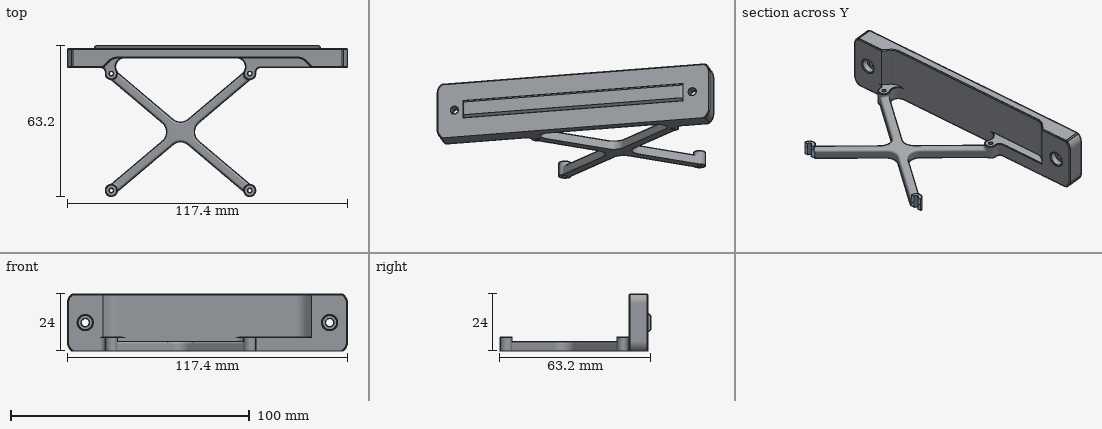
import cadquery as cq
import math

plate_length = 117.4
plate_depth = 8.0
plate_height = 24.0
corner_radius = 5.0
corner_trim = 1.0
edge_chamfer = 0.4

rail_length = 94.6
rail_height = 7.6
rail_depth = 1.2
rail_edge = 1.0

screw_spacing = 102.3
screw_diameter = 3.4
head_diameter = 6.0
head_depth = 3.0

pocket_length = 87.3
pocket_depth = 4.0
pocket_bend_radius = 5.0
pocket_slope_angle = math.radians(45)

boss_diameter = 5.0
boss_hole_diameter = 1.8
boss_height = 6.0
boss_edge_chamfer = 0.2
boss_spacing_x = 58.0
boss_spacing_y = 49.0
boss_centre_x = -11.3

inner_blend_radius = 3.6
outer_blend_radius = 2.0
pad_embed = 0.6

arm_width = 4.0
arm_height = 4.0
arm_fillet = 1.0
root_fillet = 0.9
crossing_radius = 5.0

boss_radius = boss_diameter / 2
near_row_y = -boss_radius
far_row_y = near_row_y - boss_spacing_y
crossing_y = (near_row_y + far_row_y) / 2
boss_xs = [boss_centre_x - boss_spacing_x / 2, boss_centre_x + boss_spacing_x / 2]
boss_points = [(x, y) for x in boss_xs for y in (near_row_y, far_row_y)]


def cylinder(x, y, radius, height):
    """Upright cylinder standing on z = 0."""
    return cq.Workplane("XY", origin=(x, y, 0)).circle(radius).extrude(height)


def pocket_outline():
    """Plan outline of the pocket, open towards -Y."""
    half = pocket_length / 2
    diagonal = math.sin(pocket_slope_angle)
    arc_rise = pocket_bend_radius * (1 - diagonal)
    slope = pocket_depth - arc_rise
    arc_start_x = half - slope
    arc_end_x = arc_start_x - pocket_bend_radius * diagonal
    middle_turn = pocket_slope_angle / 2
    arc_mid_x = arc_end_x + pocket_bend_radius * math.sin(middle_turn)
    arc_mid_y = pocket_depth - pocket_bend_radius * (1 - math.cos(middle_turn))
    return (
        cq.Workplane("XY")
        .moveTo(-half, 0)
        .lineTo(-arc_start_x, slope)
        .threePointArc((-arc_mid_x, arc_mid_y), (-arc_end_x, pocket_depth))
        .lineTo(arc_end_x, pocket_depth)
        .threePointArc((arc_mid_x, arc_mid_y), (arc_start_x, slope))
        .lineTo(half, 0)
        .close()
    )


def make_plate():
    """Plate with rounded ends, the pocket, and a chamfered rim everywhere but along the bottom."""
    blank = (
        cq.Workplane("XY", origin=(0, plate_depth / 2, plate_height / 2))
        .box(plate_length, plate_depth, plate_height + 2 * corner_trim)
        .edges("|Y")
        .fillet(corner_radius)
    )
    above_plate = (
        cq.Workplane("XY", origin=(0, plate_depth / 2, plate_height))
        .box(plate_length, plate_depth, corner_trim, centered=(True, True, False))
    )
    below_plate = above_plate.translate((0, 0, -plate_height - corner_trim))
    pocket = pocket_outline().extrude(plate_height + 2 * corner_trim).translate((0, 0, -corner_trim))
    plate = blank.cut(above_plate).cut(pocket)

    back_rim = plate.faces(">Y").edges()
    top_rim = plate.faces(">Z").edges("not >Y")
    end_rims = plate.faces("<Y").edges("<X or >X or %CIRCLE")
    plate = back_rim.add(top_rim).add(end_rims).chamfer(edge_chamfer)
    return plate.cut(below_plate)


def make_rail():
    """Raised bar on the back of the plate: long crest edges chamfered, ends rounded over."""
    blank = (
        cq.Workplane("XZ", origin=(0, plate_depth, plate_height / 2))
        .rect(rail_length, rail_height)
        .extrude(-rail_depth)
    )
    chamfered = blank.edges(">Y and |X").chamfer(rail_edge)
    rounded = blank.edges(">Y and |Z").fillet(rail_edge)
    return chamfered.intersect(rounded)


def blend_offset(radius, wall_y):
    """X distance from a near boss to the centre of a fillet tangent to it and to the wall."""
    rise = wall_y - radius - near_row_y
    return math.sqrt((radius + boss_radius) ** 2 - rise ** 2)


def make_pad(boss_x, outward, outer_reach):
    """Near boss with the pad that carries it, running outer_reach away from the other boss."""
    inner_x = boss_x - outward * blend_offset(inner_blend_radius, pocket_depth)
    inner_y = pocket_depth - inner_blend_radius
    outer_x = boss_x + outward * blend_offset(outer_blend_radius, 0)
    end_x = boss_x + outward * outer_reach
    back_y = pocket_depth + pad_embed
    pad = (
        cq.Workplane("XY")
        .polyline(
            [
                (boss_x, near_row_y),
                (inner_x, inner_y),
                (inner_x, back_y),
                (end_x, back_y),
                (end_x, 0),
                (outer_x, 0),
                (outer_x, -outer_blend_radius),
            ]
        )
        .close()
        .extrude(boss_height)
    )
    inner_blend = cylinder(inner_x, inner_y, inner_blend_radius, boss_height)
    outer_blend = cylinder(outer_x, -outer_blend_radius, outer_blend_radius, boss_height)
    pad = pad.cut(inner_blend).cut(outer_blend)
    pad = pad.union(cylinder(boss_x, near_row_y, boss_radius, boss_height))
    return pad.faces(">Z").edges().chamfer(boss_edge_chamfer)


def make_arms():
    """Crossed bars between opposite bosses, with a rounded crossing and rounded top edges."""
    length = math.hypot(boss_spacing_x, boss_spacing_y)
    angle = math.degrees(math.atan2(boss_spacing_y, boss_spacing_x))
    bar = cq.Workplane("XY").box(length, arm_width, arm_height, centered=(True, True, False))
    centre = (boss_centre_x, crossing_y, 0)
    rotated = [bar.rotate((0, 0, 0), (0, 0, 1), turn).translate(centre) for turn in (angle, -angle)]
    arms = rotated[0].union(rotated[1])
    reach = 2 * arm_width
    corner_zone = cq.selectors.BoxSelector(
        (boss_centre_x - reach, crossing_y - reach, 0),
        (boss_centre_x + reach, crossing_y + reach, arm_height),
    )
    arms = arms.edges("|Z").edges(corner_zone).fillet(crossing_radius)
    return arms.faces(">Z").edges().fillet(arm_fillet)


def soften_arm_root(frame, x, y):
    """Fillet the corner where the rounded top of an arm runs into the boss at (x, y)."""
    around_boss = cq.selectors.BoxSelector(
        (x - boss_diameter, y - boss_diameter, arm_height - arm_fillet),
        (x + boss_diameter, y + boss_diameter, (arm_height + boss_height) / 2),
    )
    return frame.edges(around_boss).fillet(root_fillet)


def make_frame():
    """Crossed arms with a boss at each end."""
    frame = make_arms()
    for x, y in boss_points:
        boss = cylinder(x, y, boss_radius, boss_height)
        frame = frame.union(boss.faces(">Z").chamfer(boss_edge_chamfer))
    for x, y in boss_points:
        frame = soften_arm_root(frame, x, y)
    return frame


def make_screw_holes():
    """Cutters for the counterbored holes at both ends of the plate."""
    points = [(-screw_spacing / 2, 0), (screw_spacing / 2, 0)]
    front = cq.Workplane("XZ", origin=(0, 0, plate_height / 2)).pushPoints(points)
    through = front.circle(screw_diameter / 2).extrude(-plate_depth)
    heads = front.circle(head_diameter / 2).extrude(-head_depth)
    lead_ins = front.circle(head_diameter / 2 + edge_chamfer).extrude(-edge_chamfer, taper=45)
    return through.union(heads).union(lead_ins)


left_reach = blend_offset(outer_blend_radius, 0) + pad_embed
right_reach = pocket_length / 2 - boss_xs[1] + pad_embed

result = make_plate().union(make_rail()).cut(make_screw_holes())
result = result.union(make_pad(boss_xs[0], -1, left_reach))
result = result.union(make_pad(boss_xs[1], 1, right_reach))
result = result.union(make_frame())
for x, y in boss_points:
    result = result.cut(cylinder(x, y, boss_hole_diameter / 2, boss_height))